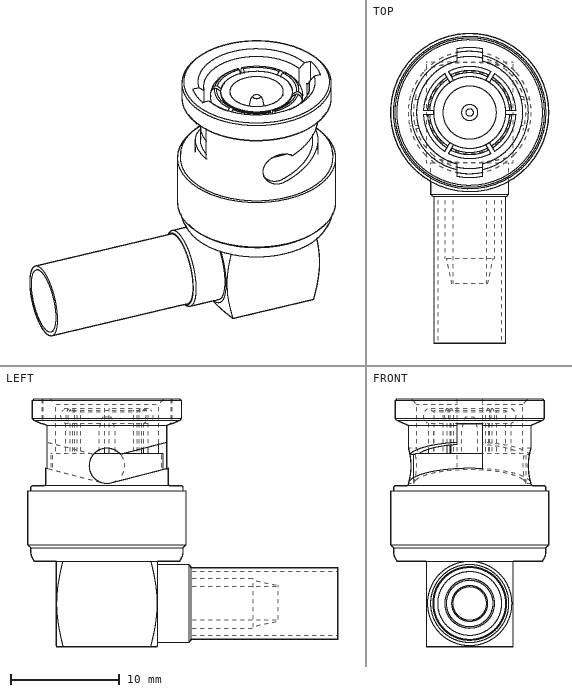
import cadquery as cq
import math

total_height = 22.85
total_length = 28.55
grip_radius = 14.6 / 2

block_width = 8.0
block_length = 9.35
block_end_circle_radius = 3.88
block_end_angle = 20.0
cable_axis_z = block_width / 2
collar_radius = 3.6
collar_end_y = -7.75
collar_chamfer = 0.2
tube_radius = 3.3
tube_bore_radius = 2.95
tube_end_y = grip_radius - total_length
ferrule_radius = 2.28
ferrule_length = 5.7
ferrule_taper_radius = 2.15
ferrule_tip_radius = 1.65
ferrule_bore_radius = 1.55
ferrule_taper_length = 2.28

grip_bottom_z = 9.4
grip_top_z = 14.35
nut_bottom_z = 7.88
shoulder_radius = 7.02
shoulder_top_z = 14.85
shoulder_round = 0.2
grip_chamfer = grip_radius - shoulder_radius
lower_edge_z = 8.68
lower_bevel_z = 8.37
lower_bevel_radius = 6.97
bottom_face_radius = 6.7
neck_radius = 5.65
neck_fillet = 0.17
flange_radius = 6.88
flange_edge_z = 20.85
flange_cone_z = 20.38
flange_edge_round = 0.17

core_top_z = 17.8
core_radius = 5.17
mouth_radius = 5.4
bore_radius = 4.88
mouth_depth = 0.5

slot_width = 2.35
keyway_radius = 6.0
ramp_angle = 14.5
lock_hole_radius = 1.63
lock_hole_z = 16.67

finger_radius = 3.8
finger_bulge_radius = 4.25
finger_tip_radius = 3.88
finger_bulge_start_z = 20.55
finger_bulge_z = 21.3
finger_top_z = 21.93
finger_mouth_radius = 3.68
finger_step_radius = 3.5
finger_mouth_depth = 0.15
finger_gap = 0.4
finger_gap_count = 6
insulator_radius = 3.3
insulator_top_z = 21.75
insulator_bore_radius = 2.45
pin_radius = 0.75
pin_taper_bottom_z = 19.85
pin_nose_radius = 0.6
pin_nose_bottom_z = 20.6
pin_nose_curve = 0.85
pin_tip_radius = 0.35
pin_top_z = 21.18

reach = 8.56


def cylinder(radius, bottom_z, top_z):
    return cq.Workplane("XY").workplane(offset=bottom_z).circle(radius).extrude(top_z - bottom_z)


def cable_cylinder(radius, start_y, end_y):
    """Cylinder on the cable axis, running towards -Y."""
    plane = cq.Workplane("XZ", origin=(0, start_y, cable_axis_z))
    return plane.circle(radius).extrude(start_y - end_y)


def make_elbow_block():
    block = cq.Workplane("XY").box(block_width, block_length, block_width)
    turned_radius = block_width
    cone_run = (turned_radius - block_end_circle_radius) * math.tan(math.radians(block_end_angle))
    half_length = block_length / 2
    turned = (
        cq.Workplane("XY")
        .moveTo(0, -half_length)
        .lineTo(block_end_circle_radius, -half_length)
        .lineTo(turned_radius, -half_length + cone_run)
        .lineTo(turned_radius, half_length - cone_run)
        .lineTo(block_end_circle_radius, half_length)
        .lineTo(0, half_length)
        .close()
        .revolve(360, (0, 0, 0), (0, 1, 0))
    )
    return block.intersect(turned).translate((0, 0, cable_axis_z))


def make_cable_exit():
    collar = cable_cylinder(collar_radius, 0, collar_end_y).faces("<Y").chamfer(collar_chamfer)
    tube = cable_cylinder(tube_radius, 0, tube_end_y)
    bore = cable_cylinder(tube_bore_radius, collar_end_y, tube_end_y)
    ferrule_end_y = collar_end_y - ferrule_length
    ferrule = cable_cylinder(ferrule_radius, collar_end_y, ferrule_end_y)
    tip = (
        cq.Workplane("XZ", origin=(0, ferrule_end_y, cable_axis_z))
        .circle(ferrule_taper_radius)
        .workplane(offset=ferrule_taper_length)
        .circle(ferrule_tip_radius)
        .loft()
    )
    ferrule_bore = cable_cylinder(ferrule_bore_radius, collar_end_y, ferrule_end_y - ferrule_taper_length)
    return collar.union(tube).cut(bore).union(ferrule).union(tip).cut(ferrule_bore)


def make_nut_shell():
    outline = (
        cq.Workplane("XZ")
        .moveTo(0, nut_bottom_z)
        .lineTo(bottom_face_radius, nut_bottom_z)
        .lineTo(lower_bevel_radius, lower_bevel_z)
        .lineTo(shoulder_radius, lower_edge_z)
        .lineTo(shoulder_radius, grip_bottom_z - grip_chamfer)
        .lineTo(grip_radius, grip_bottom_z)
        .lineTo(grip_radius, grip_top_z)
        .lineTo(shoulder_radius, grip_top_z)
        .lineTo(shoulder_radius, shoulder_top_z - shoulder_round)
        .radiusArc((shoulder_radius - shoulder_round, shoulder_top_z), -shoulder_round)
        .lineTo(neck_radius + neck_fillet, shoulder_top_z)
        .radiusArc((neck_radius, shoulder_top_z + neck_fillet), neck_fillet)
        .lineTo(neck_radius, flange_cone_z)
        .lineTo(flange_radius - flange_edge_round, flange_edge_z)
        .lineTo(flange_radius, flange_edge_z + flange_edge_round)
        .lineTo(flange_radius, total_height - flange_edge_round)
        .lineTo(flange_radius - flange_edge_round, total_height)
        .lineTo(0, total_height)
        .close()
        .revolve(360, (0, 0, 0), (0, 1, 0))
    )
    cavity = (
        cq.Workplane("XZ")
        .moveTo(0, shoulder_top_z)
        .lineTo(bore_radius, shoulder_top_z)
        .lineTo(bore_radius, total_height - mouth_depth)
        .lineTo(mouth_radius, total_height)
        .lineTo(0, total_height)
        .close()
        .revolve(360, (0, 0, 0), (0, 1, 0))
    )
    return outline.cut(cavity)


def make_bayonet_slot():
    """Keyway across both Y sides; ramp from its -Y end falls to a round lock hole at -X."""
    half_width = slot_width / 2
    angle = math.radians(ramp_angle)
    foot_y = -lock_hole_radius * math.sin(angle)
    foot_z = lock_hole_z - lock_hole_radius * math.cos(angle)
    head_y = foot_y + slot_width * math.sin(angle)
    head_z = foot_z + slot_width * math.cos(angle)
    rise = math.tan(angle)
    ramp = (
        cq.Workplane("YZ", origin=(-reach, 0, 0))
        .moveTo(foot_y, foot_z)
        .lineTo(-reach, foot_z + rise * (foot_y + reach))
        .lineTo(-reach, head_z + rise * (head_y + reach))
        .lineTo(head_y, head_z)
        .close()
        .extrude(reach + half_width)
    )
    lock_hole = (
        cq.Workplane("YZ", origin=(-reach, 0, lock_hole_z))
        .circle(lock_hole_radius)
        .extrude(reach)
    )
    keyway = (
        cq.Workplane("XY", origin=(0, 0, core_top_z))
        .rect(slot_width, 2 * reach)
        .extrude(total_height - core_top_z)
        .intersect(cylinder(keyway_radius, core_top_z, total_height))
    )
    return ramp.union(lock_hole).union(keyway)


def make_fingers():
    ring = (
        cq.Workplane("XZ")
        .moveTo(insulator_radius, shoulder_top_z)
        .lineTo(finger_radius, shoulder_top_z)
        .lineTo(finger_radius, finger_bulge_start_z)
        .threePointArc((finger_bulge_radius, finger_bulge_z), (finger_tip_radius, finger_top_z))
        .lineTo(finger_mouth_radius, finger_top_z)
        .lineTo(finger_step_radius, finger_top_z - finger_mouth_depth)
        .lineTo(insulator_radius, insulator_top_z - finger_mouth_depth)
        .close()
        .revolve(360, (0, 0, 0), (0, 1, 0))
    )
    for index in range(finger_gap_count // 2):
        gap = (
            cq.Workplane("XY", origin=(0, 0, core_top_z))
            .rect(2 * reach, finger_gap)
            .extrude(total_height - core_top_z)
            .rotate((0, 0, 0), (0, 0, 1), index * 360 / finger_gap_count)
        )
        ring = ring.cut(gap)
    return ring


def make_insulator_and_pin():
    insulator = cylinder(insulator_radius, shoulder_top_z, insulator_top_z)
    insulator = insulator.cut(cylinder(insulator_bore_radius, core_top_z, insulator_top_z))
    pin = (
        cq.Workplane("XZ")
        .moveTo(0, shoulder_top_z)
        .lineTo(pin_radius, shoulder_top_z)
        .lineTo(pin_radius, pin_taper_bottom_z)
        .lineTo(pin_nose_radius, pin_nose_bottom_z)
        .radiusArc((pin_tip_radius, pin_top_z), -pin_nose_curve)
        .lineTo(0, pin_top_z)
        .close()
        .revolve(360, (0, 0, 0), (0, 1, 0))
    )
    return insulator.union(pin)


nut = make_nut_shell()
for turn in (0, 180):
    nut = nut.cut(make_bayonet_slot().rotate((0, 0, 0), (0, 0, 1), turn))

result = (
    nut.union(cylinder(core_radius, grip_top_z, core_top_z))
    .union(make_fingers())
    .union(make_insulator_and_pin())
    .union(make_elbow_block())
    .union(make_cable_exit())
)